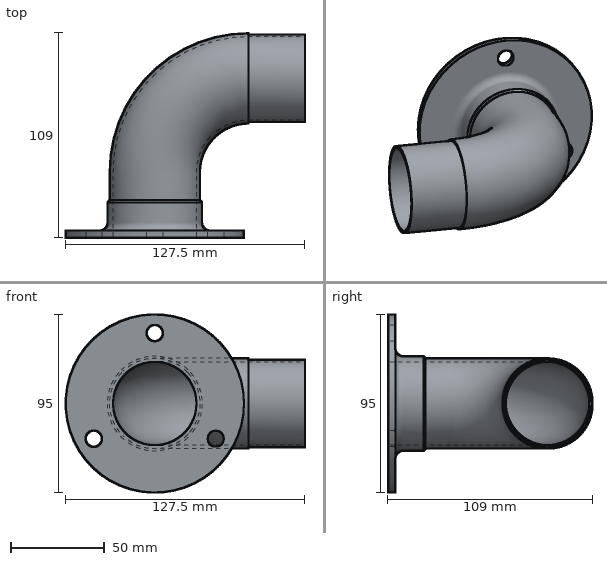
import cadquery as cq
import math

overall_length = 127.5
overall_depth = 109.0

flange_diameter = 95.0
flange_radius = flange_diameter / 2
flange_thickness = 4.0
bolt_count = 3
bolt_circle_radius = 37.5
bolt_hole_diameter = 8.5
first_bolt_angle = 90.0

collar_radius = 25.2
collar_end = 20.0
neck_fillet = 4.1

tube_radius = 24.1
bore_radius = 22.2
outlet_radius = 23.3
inlet_length = 35.0
bend_radius = overall_depth - inlet_length - tube_radius
outlet_length = overall_length - flange_radius - bend_radius

collar_chamfer = collar_radius - tube_radius


def quarter_elbow(radius):
    """Solid round bend from the inlet (along +Y) to the outlet (along +X)."""
    arc_offset = bend_radius * (1 - math.sqrt(0.5))
    arc_middle = (arc_offset, inlet_length + bend_radius - arc_offset)
    arc_end = (bend_radius, inlet_length + bend_radius)
    path = cq.Workplane("XY").moveTo(0, inlet_length).threePointArc(arc_middle, arc_end)
    return cq.Workplane("XZ", origin=(0, inlet_length, 0)).circle(radius).sweep(path)


def inlet_cylinder(radius):
    """Solid cylinder along +Y from the flange face to the bend."""
    return cq.Workplane("XZ").circle(radius).extrude(-inlet_length)


def outlet_cylinder(radius):
    """Solid cylinder along +X from the bend to the outlet end."""
    outlet_start = (bend_radius, inlet_length + bend_radius, 0)
    return cq.Workplane("YZ", origin=outlet_start).circle(radius).extrude(outlet_length)


def flange_with_collar():
    """Flange disc and chamfered collar, blended by a concave neck fillet."""
    fillet_centre_x = collar_radius + neck_fillet
    fillet_centre_y = flange_thickness + neck_fillet
    fillet_mid_offset = neck_fillet * math.sqrt(0.5)
    fillet_mid = (fillet_centre_x - fillet_mid_offset, fillet_centre_y - fillet_mid_offset)
    profile = (
        cq.Workplane("XY")
        .lineTo(flange_radius, 0)
        .lineTo(flange_radius, flange_thickness)
        .lineTo(fillet_centre_x, flange_thickness)
        .threePointArc(fillet_mid, (collar_radius, fillet_centre_y))
        .lineTo(collar_radius, collar_end - collar_chamfer)
        .lineTo(tube_radius, collar_end)
        .lineTo(0, collar_end)
        .close()
    )
    return profile.revolve(360, (0, 0, 0), (0, 1, 0))


def bolt_holes():
    """Cutters for the evenly spaced holes through the flange."""
    return (
        cq.Workplane("XZ")
        .polarArray(bolt_circle_radius, first_bolt_angle, 360, bolt_count)
        .circle(bolt_hole_diameter / 2)
        .extrude(-flange_thickness)
    )


inlet = (
    flange_with_collar()
    .union(inlet_cylinder(tube_radius))
    .cut(inlet_cylinder(bore_radius))
    .cut(bolt_holes())
)
bend = quarter_elbow(tube_radius).cut(quarter_elbow(bore_radius))
outlet = outlet_cylinder(outlet_radius).cut(outlet_cylinder(bore_radius))

result = inlet.union(bend).union(outlet)